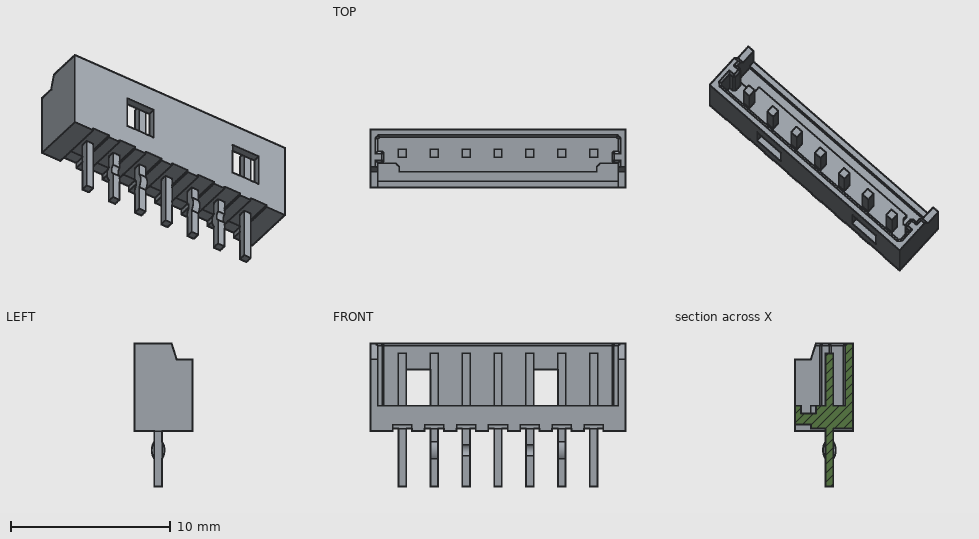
import cadquery as cq
import math

length = 16.0
depth = 3.65
height = 5.5
total_height = 9.0
half_length = length / 2

floor_z = 1.6
side_wall = 0.45
back_wall = 0.5
front_wall = 0.38
corner_chamfer = 0.11
rim_chamfer = 0.15
cavity_back_y = depth - back_wall
cavity_half_length = half_length - side_wall

rib_reach = 0.4
rib_front_y = depth - 2.08
rib_back_y = depth - 1.38

step_drop = 1.0
step_top_y = depth - 2.34
step_bottom_y = depth - 2.65

channel_depth = 0.5
channel_back_y = depth - 2.65
channel_end_back_y = depth - 2.11
channel_end_x = half_length - 1.8
channel_corner = 0.22

pin_count = 7
pitch = 2.0
pin_size = 0.5
pin_y = depth - 1.49
pin_top_z = 4.88
pin_bottom_z = height - total_height
pin_xs = [(i - (pin_count - 1) / 2) * pitch for i in range(pin_count)]

kinks = {1: -1, 2: 1, 4: 1, 5: -1}
kink_z = -1.2
kink_rise = 0.16
kink_radius = 0.96

window_first_pins = (0, 4)
window_top_z = 3.85

notch_width = 1.2
notch_front_height = 0.4
notch_front_depth = 1.0
notch_back_height = 0.15


def box(x0, x1, y0, y1, z0, z1):
    """Axis-aligned box between two corners."""
    return cq.Workplane("XY").box(x1 - x0, y1 - y0, z1 - z0, centered=False).translate((x0, y0, z0))


def mirrored_outline(right_half):
    """Closed XY outline from its right half, listed from front to back."""
    left_half = [(-x, y) for x, y in reversed(right_half)]
    return cq.Workplane("XY").polyline(right_half + left_half).close()


def shell():
    """Housing block with the open-front cavity, rim chamfer and lowered end walls."""
    wall_x = cavity_half_length
    rib_x = wall_x - rib_reach
    c = corner_chamfer
    cavity = mirrored_outline([
        (wall_x, 0),
        (wall_x, rib_front_y),
        (rib_x + c, rib_front_y),
        (rib_x, rib_front_y + c),
        (rib_x, rib_back_y - c),
        (rib_x + c, rib_back_y),
        (wall_x, rib_back_y),
        (wall_x, cavity_back_y - c),
        (wall_x - c, cavity_back_y),
    ]).extrude(height - floor_z).translate((0, 0, floor_z))
    body = box(-half_length, half_length, 0, depth, 0, height).cut(cavity)

    margin = side_wall / 2
    rim = cq.selectors.BoxSelector(
        (-half_length + margin, margin, height - margin),
        (half_length - margin, depth - margin, height + margin),
    )
    body = body.edges(rim).chamfer(rim_chamfer)

    step = (
        cq.Workplane("YZ")
        .polyline([
            (0, height),
            (step_top_y, height),
            (step_bottom_y, height - step_drop),
            (0, height - step_drop),
        ])
        .close()
        .extrude(half_length, both=True)
    )
    return body.cut(step)


def floor_channel():
    """Cutter for the channel behind the front wall."""
    return mirrored_outline([
        (cavity_half_length, front_wall),
        (cavity_half_length, channel_end_back_y),
        (channel_end_x + channel_corner, channel_end_back_y),
        (channel_end_x, channel_end_back_y - channel_corner),
        (channel_end_x, channel_back_y),
    ]).extrude(channel_depth).translate((0, 0, floor_z - channel_depth))


def window(first_pin):
    """Cutter for a back-wall window, level with the cavity floor."""
    return box(pin_xs[first_pin], pin_xs[first_pin + 1], cavity_back_y, depth, floor_z, window_top_z)


def notch(x):
    """Cutter for an underside notch: tall at the front, shallow through to the back."""
    x0 = x - notch_width / 2
    x1 = x + notch_width / 2
    shallow = box(x0, x1, 0, depth, 0, notch_back_height)
    return shallow.union(box(x0, x1, 0, notch_front_depth, 0, notch_front_height))


def pin(x, kink):
    """Square pin; a non-zero kink bows its tail that way along Y in two concentric arcs."""
    half = pin_size / 2
    if kink == 0:
        return box(x - half, x + half, pin_y - half, pin_y + half, pin_bottom_z, pin_top_z)

    inner_radius = kink_radius - pin_size
    arc_centre = half + kink_rise - kink_radius
    outer_chord = math.sqrt(kink_radius**2 - (half - arc_centre) ** 2)
    inner_chord = math.sqrt(inner_radius**2 - (-half - arc_centre) ** 2)
    outer_face = pin_y + kink * half
    inner_face = pin_y - kink * half
    return (
        cq.Workplane("YZ")
        .moveTo(inner_face, pin_bottom_z)
        .lineTo(outer_face, pin_bottom_z)
        .lineTo(outer_face, kink_z - outer_chord)
        .threePointArc((outer_face + kink * kink_rise, kink_z), (outer_face, kink_z + outer_chord))
        .lineTo(outer_face, pin_top_z)
        .lineTo(inner_face, pin_top_z)
        .lineTo(inner_face, kink_z + inner_chord)
        .threePointArc((inner_face + kink * kink_rise, kink_z), (inner_face, kink_z - inner_chord))
        .close()
        .extrude(half, both=True)
        .translate((x, 0, 0))
    )


result = shell().cut(floor_channel())
for first_pin in window_first_pins:
    result = result.cut(window(first_pin))
for index, pin_x in enumerate(pin_xs):
    result = result.cut(notch(pin_x))
    result = result.union(pin(pin_x, kinks.get(index, 0)))